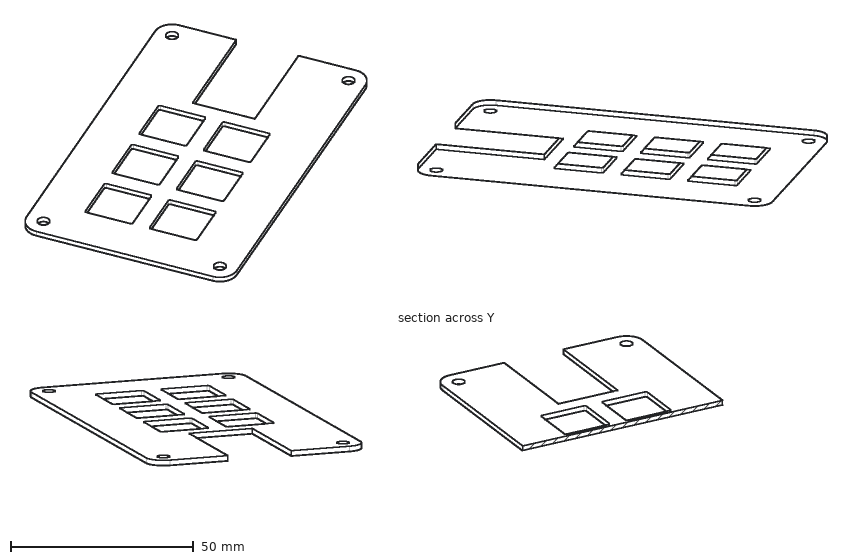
import cadquery as cq

plate_width = 62.5
plate_length = 101.0
plate_thickness = 1.5
corner_radius = 5.1

hole_diameter = 3.4
hole_spacing_x = plate_width - 2 * corner_radius
hole_spacing_y = plate_length - 2 * corner_radius

notch_width = 18.5
notch_depth = 30.9

window_size = 14.0
window_corner_radius = 0.5
window_pitch = 19.1
window_columns = 2
window_rows = 3
grid_center_x = -0.8
grid_center_y = -11.1


def make_plate():
    """Flat plate with rounded vertical corners."""
    plate = cq.Workplane("XY").box(
        plate_width, plate_length, plate_thickness, centered=(True, True, False)
    )
    return plate.edges("|Z").fillet(corner_radius)


def make_mounting_holes():
    """Four cylinders through the plate corners."""
    return (
        cq.Workplane("XY")
        .rarray(hole_spacing_x, hole_spacing_y, 2, 2)
        .circle(hole_diameter / 2)
        .extrude(plate_thickness)
    )


def make_notch():
    """Rectangular block reaching inward from the +Y edge."""
    return (
        cq.Workplane("XY")
        .center(0, (plate_length - notch_depth) / 2)
        .rect(notch_width, notch_depth)
        .extrude(plate_thickness)
    )


def make_windows():
    """Grid of square blocks with slightly rounded corners."""
    return (
        cq.Workplane("XY")
        .center(grid_center_x, grid_center_y)
        .rarray(window_pitch, window_pitch, window_columns, window_rows)
        .rect(window_size, window_size)
        .extrude(plate_thickness)
        .edges("|Z")
        .fillet(window_corner_radius)
    )


result = make_plate().cut(make_mounting_holes()).cut(make_notch()).cut(make_windows())